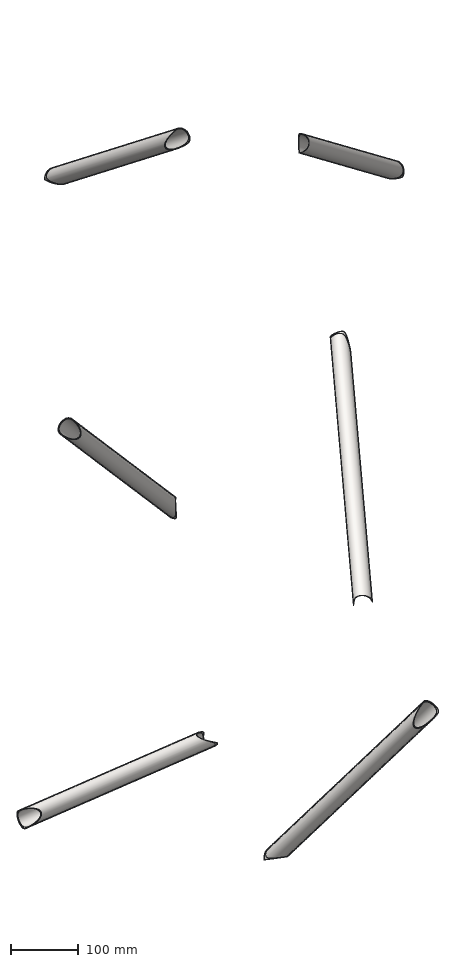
import cadquery as cq

tube_radius = 14.3
wall = 1.0

lower_cope_radius = tube_radius
upper_cope_radius = 14.5

lower_joint = cq.Vector(0, 0, 0)
upper_joint = cq.Vector(264.5, 98.8, 338.0)

lower_mate_axis = cq.Vector(1, 0.09, 0)
upper_mate_axis = cq.Vector(-0.06, -0.65, -0.8)

end_allowance = 69.5
mate_length = 348


def rod(start, direction, length, radius):
    """Solid cylinder starting at a point and running along a direction."""
    return cq.Workplane(cq.Solid.makeCylinder(radius, length, start, direction))


def mating_tube(joint, axis, radius):
    """Envelope of a mating tube, centred on its joint."""
    start = joint - axis.normalized() * (mate_length / 2)
    return rod(start, axis, mate_length, radius)


tube_run = upper_joint - lower_joint
tube_axis = tube_run.normalized()
stock_start = lower_joint - tube_axis * end_allowance
stock_length = tube_run.Length + 2 * end_allowance

stock = rod(stock_start, tube_axis, stock_length, tube_radius)
bore = rod(stock_start, tube_axis, stock_length, tube_radius - wall)

coped = (
    stock.cut(bore)
    .cut(mating_tube(lower_joint, lower_mate_axis, lower_cope_radius))
    .cut(mating_tube(upper_joint, upper_mate_axis, upper_cope_radius))
)

tube_middle = lower_joint + tube_run * 0.5
pieces = coped.solids().vals()
result = cq.Workplane(min(pieces, key=lambda piece: (piece.Center() - tube_middle).Length))